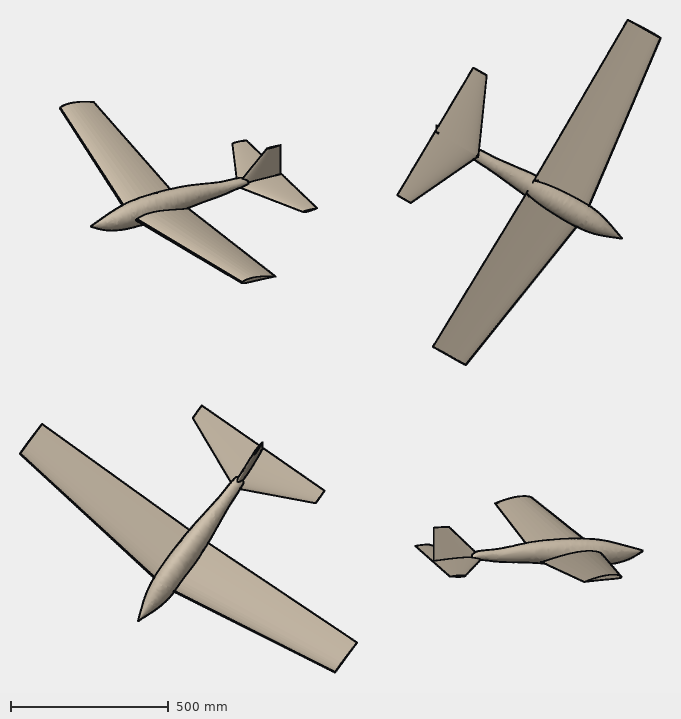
import cadquery as cq
import math


span = 1224.0
wing_root_chord = 201.0
wing_tip_chord = 122.0
wing_trailing_y = 337.0
dihedral = 5.0
incidence = 5.0
wing_thickness = 0.12
wing_camber = 0.04
camber_position = 0.4
wing_stations = [
    0, 0.0125, 0.025, 0.05, 0.075, 0.1, 0.15, 0.2,
    0.3, 0.4, 0.5, 0.6, 0.7, 0.8, 0.9, 0.95, 1,
]

tail_y = 685.0
tail_root_chord = 159.0
tail_tip_chord = 50.0
tail_thickness = 0.12
tail_section_steps = 60
tailplane_span = 477.0
fin_height = 109.0
fin_setback = 4.0
tail_stations = [
    (1 - math.cos(math.pi * i / tail_section_steps)) / 2 for i in range(tail_section_steps + 1)
]

fuselage_sections = [
    (0.0, 1.0, 1.0, -1.0),
    (33.0, 13.0, 12.0, -20.0),
    (80.0, 29.0, 27.0, -34.0),
    (135.0, 39.0, 42.0, -39.0),
    (208.0, 42.0, 50.0, -38.0),
    (294.0, 39.0, 50.0, -29.0),
    (392.0, 30.0, 42.0, -18.0),
    (490.0, 21.0, 28.0, -10.0),
    (560.0, 15.0, 17.0, -7.0),
]
section_points = 16


def half_thickness(x, thickness):
    """Half thickness of a four-digit NACA section with a closed trailing edge."""
    return 5 * thickness * (
        0.2969 * math.sqrt(x) - 0.126 * x - 0.3516 * x**2 + 0.2843 * x**3 - 0.1036 * x**4
    )


def camber_height(x, camber):
    """Mean line of a four-digit NACA section, two parabolas meeting at the highest point."""
    p = camber_position
    if x < p:
        return camber * (2 * p * x - x**2) / p**2
    return camber * (1 - 2 * p + 2 * p * x - x**2) / (1 - p) ** 2


def airfoil(stations, thickness, camber=0.0):
    """Closed outline for unit chord as (along chord, height): upper side back, lower side forward."""
    upper = [(x, camber_height(x, camber) + half_thickness(x, thickness)) for x in stations]
    lower = [(x, camber_height(x, camber) - half_thickness(x, thickness)) for x in stations[1:-1]]
    return upper[:-1] + [(1.0, 0.0)] + lower[::-1]


def polygon(points):
    return cq.Wire.makePolygon([cq.Vector(*p) for p in points], close=True)


def make_wing():
    outline = airfoil(wing_stations, wing_thickness, wing_camber)
    sine = math.sin(math.radians(incidence))
    cosine = math.cos(math.radians(incidence))

    def section(x, chord):
        leading_y = wing_trailing_y - chord * cosine
        leading_z = abs(x) * math.tan(math.radians(dihedral))
        return polygon([
            (x, leading_y + chord * (u * cosine + v * sine), leading_z + chord * (v * cosine - u * sine))
            for u, v in outline
        ])

    sections = [
        section(-span / 2, wing_tip_chord),
        section(0, wing_root_chord),
        section(span / 2, wing_tip_chord),
    ]
    return cq.Workplane(cq.Solid.makeLoft(sections, True))


def make_tailplane():
    outline = airfoil(tail_stations, tail_thickness)

    def section(x, chord):
        return polygon([(x, tail_y + chord * (u - 1), chord * v) for u, v in outline])

    sections = [
        section(-tailplane_span / 2, tail_tip_chord),
        section(0, tail_root_chord),
        section(tailplane_span / 2, tail_tip_chord),
    ]
    return cq.Workplane(cq.Solid.makeLoft(sections, True))


def make_fin():
    outline = airfoil(tail_stations, tail_thickness)

    def section(z, chord):
        return polygon([(chord * v, tail_y - fin_setback + chord * (u - 1), z) for u, v in outline])

    sections = [section(0, tail_root_chord), section(fin_height, tail_tip_chord)]
    return cq.Workplane(cq.Solid.makeLoft(sections, True))


def make_fuselage():
    def section(y, half_width, top, bottom):
        middle = (top + bottom) / 2
        half_height = (top - bottom) / 2
        angles = [2 * math.pi * i / section_points for i in range(section_points)]
        ring = [
            cq.Vector(-half_width * math.cos(a), y, middle + half_height * math.sin(a)) for a in angles
        ]
        return cq.Wire.assembleEdges([cq.Edge.makeSpline(ring, periodic=True)])

    return cq.Workplane(cq.Solid.makeLoft([section(*s) for s in fuselage_sections]))


wing = make_wing()
tailplane = make_tailplane()
fin = make_fin().cut(tailplane)
fuselage = make_fuselage().cut(wing).cut(tailplane).cut(fin)

result = cq.Compound.makeCompound([fuselage.val(), wing.val(), tailplane.val(), fin.val()])